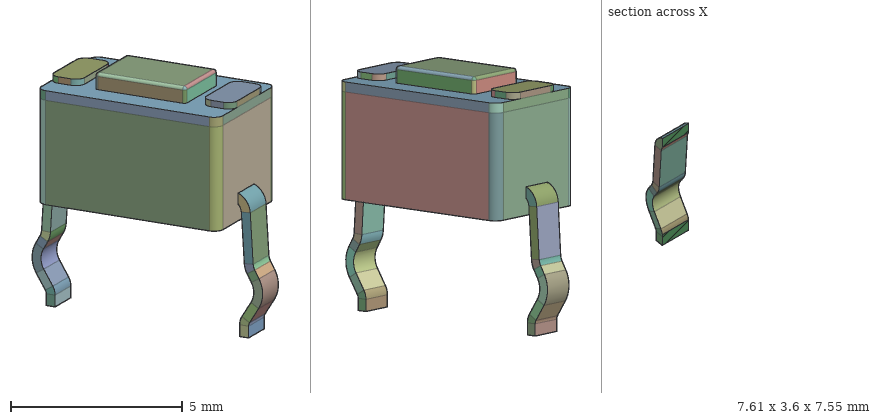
import cadquery as cq
import math


body_length = 6.0
body_width = 3.6
body_height = 3.205
cover_thickness = 0.3
body_corner_radius = 0.3
cover_top = body_height + cover_thickness

button_length = 3.0
button_width = 2.0
button_height = 0.5
button_edge_radius = 0.1

pad_length = 1.01
pad_width = 2.0
pad_height = 0.2
pad_corner_radius = 0.3
right_pad_shift = 0.09

leg_width = 1.0
leg_thickness = 0.3
leg_shift = -0.05
leg_start_x = -2.77
leg_start_z = 0.745
leg_root = 0.38
leg_bottom = -3.55

shoulder_radius = 0.48
upper_straight = 1.57
knee_radius = 0.54
knee_straight = 0.28
bulge_radius = 0.745
lower_straight = 0.56
ankle_radius = 0.35

out_heading = 180.0
upper_heading = 266.5
knee_heading = 240.0
lower_heading = 302.0
down_heading = 270.0


def rounded_block(length, width, height, corner_radius, bottom):
    """Box centred in X and Y with rounded vertical edges."""
    block = cq.Workplane("XY").workplane(offset=bottom).rect(length, width).extrude(height)
    return block.edges("|Z").fillet(corner_radius)


def polar(point, distance, heading):
    """Point reached by moving a distance from a point along a heading."""
    angle = math.radians(heading)
    return (point[0] + distance * math.cos(angle), point[1] + distance * math.sin(angle))


def strip_piece(profile):
    """Extrude a closed XZ profile to the leg's width."""
    return profile.close().extrude(leg_width / 2, both=True).translate((0, leg_shift, 0))


def straight_piece(start, heading, length):
    """Straight stretch of strip; returns the solid and the centreline end."""
    end = polar(start, length, heading)
    half = leg_thickness / 2
    corners = [
        polar(start, half, heading + 90),
        polar(end, half, heading + 90),
        polar(end, half, heading - 90),
        polar(start, half, heading - 90),
    ]
    return strip_piece(cq.Workplane("XZ").polyline(corners)), end


def bend_piece(start, heading, new_heading, radius):
    """Circular bend of strip; returns the solid and the centreline end."""
    side = math.copysign(90, new_heading - heading)
    center = polar(start, radius, heading + side)
    inner = radius - leg_thickness / 2
    outer = radius + leg_thickness / 2
    first = heading - side
    last = new_heading - side
    middle = (first + last) / 2
    profile = (
        cq.Workplane("XZ")
        .moveTo(*polar(center, outer, first))
        .threePointArc(polar(center, outer, middle), polar(center, outer, last))
        .lineTo(*polar(center, inner, last))
        .threePointArc(polar(center, inner, middle), polar(center, inner, first))
    )
    return strip_piece(profile), polar(center, radius, last)


def make_leg():
    """Leg on the -X side: out of the body, down, bulging outwards, then straight to the tip."""
    bends = [
        (shoulder_radius, upper_heading, upper_straight),
        (knee_radius, knee_heading, knee_straight),
        (bulge_radius, lower_heading, lower_straight),
        (ankle_radius, down_heading, None),
    ]
    heading = out_heading
    root = (leg_start_x + leg_root, leg_start_z)
    leg, point = straight_piece(root, heading, leg_root)
    for radius, new_heading, length in bends:
        bend, point = bend_piece(point, heading, new_heading, radius)
        heading = new_heading
        if length is None:
            length = point[1] - leg_bottom
        straight, point = straight_piece(point, heading, length)
        leg = leg.union(bend, clean=False).union(straight, clean=False)
    return leg


body = rounded_block(body_length, body_width, body_height, body_corner_radius, 0)
cover = rounded_block(body_length, body_width, cover_thickness, body_corner_radius, body_height)

button = rounded_block(button_length, button_width, button_height, button_edge_radius, cover_top)
button = button.faces(">Z").edges().fillet(button_edge_radius)

pad = rounded_block(pad_length, pad_width, pad_height, pad_corner_radius, cover_top)
pad_x = (body_length - pad_length) / 2
left_pad = pad.translate((-pad_x, 0, 0))
right_pad = pad.translate((pad_x, right_pad_shift, 0))

left_leg = make_leg()
right_leg = left_leg.mirror("YZ")

result = body
for piece in (cover, button, left_pad, right_pad, left_leg, right_leg):
    result = result.union(piece, clean=False)